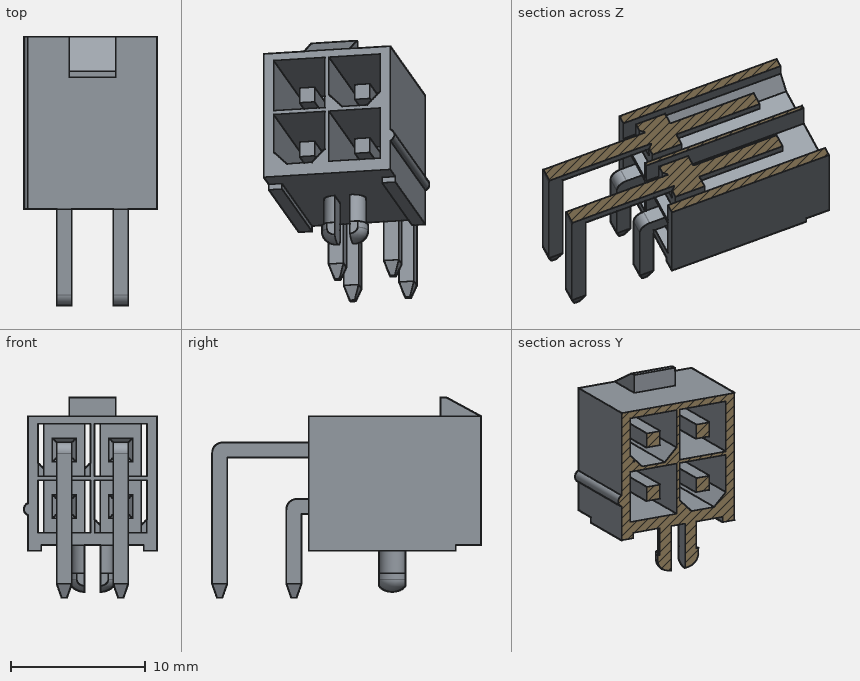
import cadquery as cq


OVERALL_LENGTH = 19.97

HOUSING_WIDTH = 9.6
HOUSING_LENGTH = 12.8
HOUSING_HEIGHT = 10.0
UNDERCUT_WIDTH = 7.59
UNDERCUT_HEIGHT = 0.42
FRONT_STEP_LENGTH = 1.85

PITCH = 4.2
CELL_SIZE = 3.9
LOWER_ROW_Z = 3.3
COLUMN_X = (-PITCH / 2, PITCH / 2)
ROW_Z = (LOWER_ROW_Z, LOWER_ROW_Z + PITCH)
BLOCK_WIDTH = 3.05
BLOCK_RECESS = 0.82
BLOCK_THICKNESS = 2.4
KEY_CHAMFER = 1.0

PIN_SIZE = 1.14
FUNNEL_MOUTH = 1.78
FUNNEL_DEPTH = (FUNNEL_MOUTH - PIN_SIZE) / 2
PIN_END_Y = 9.98
LONG_PIN_REACH = OVERALL_LENGTH - HOUSING_LENGTH
ROW_REACH_STEP = 5.51
ROW_REACH = (LONG_PIN_REACH - ROW_REACH_STEP, LONG_PIN_REACH)
BEND_RADIUS = 0.8
PIN_DROP = 3.5
TIP_LENGTH = 1.05
TIP_SIZE = 0.4

LATCH_WIDTH = 3.45
LATCH_LENGTH = 3.02
LATCH_HEIGHT = 1.4
LATCH_CREST = 0.44

RIB_Z = 3.1
RIB_HEIGHT = 0.88
RIB_DEPTH = 0.3

PEG_Y = 6.21
PEG_RADIUS = 1.0
PEG_GAP = 1.15
PEG_SHANK_END_Z = -1.65
PEG_DOME_Z = -2.12
PEG_BOTTOM_Z = -3.05
PEG_TIP_RADIUS = 1.15


def box(width, length, height, x, y, z):
    """Box centred on x and z that starts at y and runs along +Y."""
    return cq.Workplane("XY").box(width, length, height).translate((x, y + length / 2, z))


def make_shell():
    shell = box(HOUSING_WIDTH, HOUSING_LENGTH, HOUSING_HEIGHT, 0, 0, HOUSING_HEIGHT / 2)
    undercut = box(UNDERCUT_WIDTH, HOUSING_LENGTH, UNDERCUT_HEIGHT, 0, 0, UNDERCUT_HEIGHT / 2)
    step_y = HOUSING_LENGTH - FRONT_STEP_LENGTH
    step = box(HOUSING_WIDTH, FRONT_STEP_LENGTH, UNDERCUT_HEIGHT, 0, step_y, UNDERCUT_HEIGHT / 2)
    return shell.cut(undercut).cut(step)


def make_cell(x, z, keyed):
    """Open space of one cell: a through passage less its contact block and key corners."""
    mating_y = BLOCK_RECESS + BLOCK_THICKNESS
    mating = box(CELL_SIZE, HOUSING_LENGTH - mating_y, CELL_SIZE, x, mating_y, z)
    passage = box(CELL_SIZE, mating_y, CELL_SIZE, x, 0, z)
    block = box(BLOCK_WIDTH, BLOCK_THICKNESS, CELL_SIZE, x, BLOCK_RECESS, z)
    if keyed:
        mating = mating.edges("|Y and <Z").chamfer(KEY_CHAMFER)
    funnel = (
        cq.Workplane("XZ", origin=(x, BLOCK_RECESS, z))
        .rect(FUNNEL_MOUTH, FUNNEL_MOUTH)
        .workplane(offset=-FUNNEL_DEPTH)
        .rect(PIN_SIZE, PIN_SIZE)
        .loft(combine=True)
    )
    return passage.cut(block).union(mating).union(funnel)


def make_pin(x, z, reach):
    """Right-angle pin with a rounded outer bend and a tapered solder tip."""
    half = PIN_SIZE / 2
    taper_z = TIP_LENGTH - PIN_DROP
    pin = (
        cq.Workplane("YZ", origin=(x, 0, 0))
        .moveTo(PIN_END_Y, z + half)
        .lineTo(BEND_RADIUS - reach, z + half)
        .radiusArc((-reach, z + half - BEND_RADIUS), -BEND_RADIUS)
        .lineTo(-reach, taper_z)
        .lineTo(PIN_SIZE - reach, taper_z)
        .lineTo(PIN_SIZE - reach, z - half)
        .lineTo(PIN_END_Y, z - half)
        .close()
        .extrude(half, both=True)
    )
    tip = (
        cq.Workplane("XY", origin=(x, half - reach, taper_z))
        .rect(PIN_SIZE, PIN_SIZE)
        .workplane(offset=-TIP_LENGTH)
        .rect(TIP_SIZE, TIP_SIZE)
        .loft(combine=True)
    )
    return pin.union(tip)


def make_latch():
    crest_y = HOUSING_LENGTH - LATCH_LENGTH
    crest_z = HOUSING_HEIGHT + LATCH_HEIGHT
    return (
        cq.Workplane("YZ")
        .moveTo(HOUSING_LENGTH, HOUSING_HEIGHT)
        .lineTo(crest_y + LATCH_CREST, crest_z)
        .lineTo(crest_y, crest_z)
        .lineTo(crest_y, HOUSING_HEIGHT)
        .close()
        .extrude(LATCH_WIDTH / 2, both=True)
    )


def make_rib():
    wall_x = -HOUSING_WIDTH / 2
    return (
        cq.Workplane("XZ")
        .moveTo(wall_x, RIB_Z - RIB_HEIGHT / 2)
        .threePointArc((wall_x - RIB_DEPTH, RIB_Z), (wall_x, RIB_Z + RIB_HEIGHT / 2))
        .close()
        .extrude(-HOUSING_LENGTH)
    )


def make_peg_leg(side):
    """Half-round leg on one side (-1 or +1) with a wider domed tip, flat at both Y ends."""
    shank = (
        cq.Workplane("XY", origin=(0, 0, PEG_SHANK_END_Z))
        .circle(PEG_RADIUS)
        .extrude(UNDERCUT_HEIGHT - PEG_SHANK_END_Z)
    )
    tip = (
        cq.Workplane("XZ")
        .moveTo(0, PEG_SHANK_END_Z)
        .lineTo(PEG_TIP_RADIUS, PEG_SHANK_END_Z)
        .lineTo(PEG_TIP_RADIUS, PEG_DOME_Z)
        .ellipseArc(PEG_TIP_RADIUS, PEG_DOME_Z - PEG_BOTTOM_Z, 270, 360, sense=-1, startAtCurrent=True)
        .close()
        .revolve(360, (0, 0, 0), (0, 1, 0))
    )
    height = UNDERCUT_HEIGHT - PEG_BOTTOM_Z
    half_space = cq.Workplane("XY").box(PEG_TIP_RADIUS, 2 * PEG_RADIUS, height)
    half_space = half_space.translate((side * PEG_TIP_RADIUS / 2, 0, PEG_BOTTOM_Z + height / 2))
    leg = shank.union(tip).intersect(half_space)
    return leg.translate((side * PEG_GAP / 2, PEG_Y, 0))


result = make_shell().union(make_latch()).union(make_rib())

for row, z in enumerate(ROW_Z):
    for column, x in enumerate(COLUMN_X):
        result = result.cut(make_cell(x, z, keyed=row != column))
        result = result.union(make_pin(x, z, ROW_REACH[row]))

for side in (-1, 1):
    result = result.union(make_peg_leg(side))